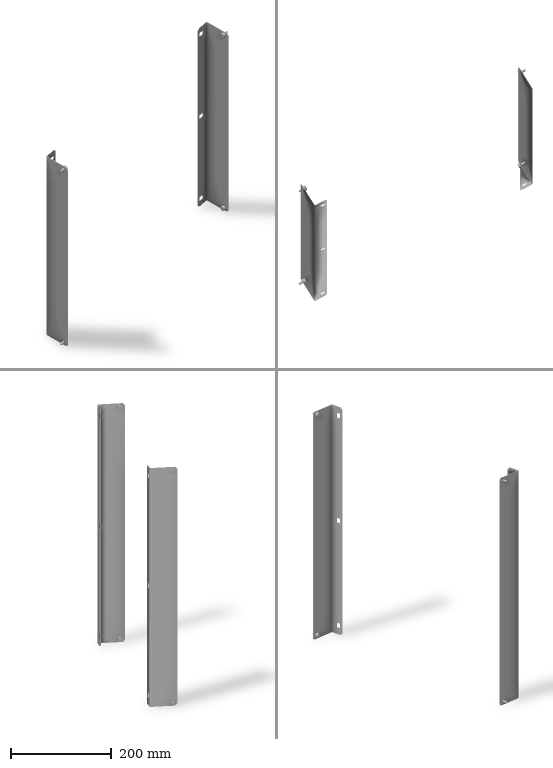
import cadquery as cq


bracket_height = 490.0
web_width = 56.0
web_outer_y = 250.0
flange_depth = 28.5
sheet = 1.0
bend_radius = 2.0
web_chamfer = 4.0
flange_chamfer = 4.5

square_size = 10.0
square_y = 232.0
square_pitch = 226.0
square_rows = (-1, 0, 1)

screw_span = 519.0
screw_edge_x = 11.0
screw_edge_z = 7.5
screw_diameter = 4.5
tip_chamfer = 1.0
head_diameter = 10.0
head_thickness = 4.0
washer_diameter = 10.5
washer_thickness = 1.0

outer_x = -web_width / 2
inner_x = outer_x + sheet
web_edge_x = web_width / 2
web_inner_y = web_outer_y - sheet
flange_edge_y = web_outer_y - flange_depth
screw_x = web_edge_x - screw_edge_x
screw_z = bracket_height / 2 - screw_edge_z
screw_ends = (-screw_z, screw_z)
screw_tip_y = screw_span / 2
washer_inner_y = web_inner_y - washer_thickness
head_inner_y = washer_inner_y - head_thickness


def rod(diameter, start_y, end_y, z):
    """Cylinder along Y, centred on the screw axis at height z."""
    plane = cq.Plane(origin=(screw_x, start_y, z), xDir=(1, 0, 0), normal=(0, 1, 0))
    return cq.Workplane(plane).circle(diameter / 2).extrude(end_y - start_y)


def make_folded_sheet():
    """L section with a rounded bend, and clipped corners on both free edges."""
    angle = (
        cq.Workplane("XY")
        .workplane(offset=-bracket_height / 2)
        .moveTo(outer_x, flange_edge_y)
        .lineTo(outer_x, web_outer_y)
        .lineTo(web_edge_x, web_outer_y)
        .lineTo(web_edge_x, web_inner_y)
        .lineTo(inner_x, web_inner_y)
        .lineTo(inner_x, flange_edge_y)
        .close()
        .extrude(bracket_height)
    )
    outer_bend = cq.selectors.NearestToPointSelector((outer_x, web_outer_y, 0))
    inner_bend = cq.selectors.NearestToPointSelector((inner_x, web_inner_y, 0))
    angle = angle.edges(outer_bend).fillet(bend_radius)
    angle = angle.edges(inner_bend).fillet(bend_radius - sheet)
    angle = angle.faces(">X").edges("|Y").chamfer(web_chamfer)
    return angle.faces("<Y").edges("|X").chamfer(flange_chamfer)


def make_bracket():
    bracket = make_folded_sheet()
    for row in square_rows:
        square = cq.Workplane("XY").box(sheet, square_size, square_size)
        center = (outer_x + sheet / 2, square_y, row * square_pitch)
        bracket = bracket.cut(square.translate(center))
    for z in screw_ends:
        bracket = bracket.cut(rod(screw_diameter, web_inner_y, web_outer_y, z))
    return bracket


def make_washer(z):
    """Flat ring between the screw head and the inner face of the web."""
    disc = rod(washer_diameter, washer_inner_y, web_inner_y, z)
    return disc.cut(rod(screw_diameter, washer_inner_y, web_inner_y, z))


def make_screw(z):
    """Head inside the web, and a shank with a chamfered tip outside it."""
    shank = rod(screw_diameter, washer_inner_y, screw_tip_y, z).faces(">Y").chamfer(tip_chamfer)
    head = rod(head_diameter, head_inner_y, washer_inner_y, z)
    return shank.union(head)


back_set = [make_bracket()]
for z in screw_ends:
    back_set.append(make_washer(z))
    back_set.append(make_screw(z))
front_set = [body.mirror("XZ") for body in back_set]

result = cq.Compound.makeCompound([body.val() for body in back_set + front_set])